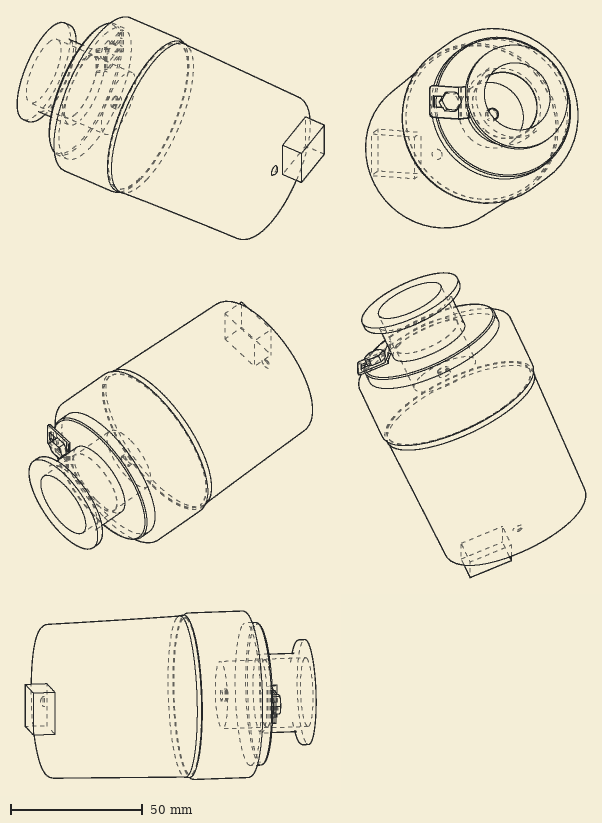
import cadquery as cq
import math


flange_radius = 20.0
flange_corner = 2.8
flange_round = 1.0
flange_back_angle = 15.0
neck_radius = 15.0
neck_round = 0.7

collar_start = 18.0
collar_radius = 27.2
collar_chamfer = 0.5
sleeve_start = 22.7
sleeve_end = 45.9
sleeve_radius = 63.5 / 2
sleeve_round = 1.2
groove_radius = 29.9
ring_start = 46.2
ring_end = 48.0
ring_radius = 30.9
ring_round = 0.2

housing_end = 101.6
housing_start_radius = 30.7
housing_end_radius = 29.3
housing_round = 3.0

bore_radius = 26.2 / 2
inner_bore_radius = 25.6 / 2
bore_taper_start = 14.5
bore_step = 15.8
bore_step_radius = 13.0
bore_depth = 33.0
pin_radius = 4.6 / 2
pin_tip_radius = 4.0 / 2
pin_length = 2.2

total_length = 110.0
plug_width = 17.2
plug_height = 16.3
plug_center_y = 15.0
dome_radius = 4.0 / 2
dome_height = 1.2

tab_thickness = 0.8
tab_width = 12.3
tab_tip_y = 29.3
tab_bend_y = 16.8
tab_corner = 1.3
lip_reach = 3.0
slot_width = 4.3
slot_tip_y = 27.9
screw_y = 21.5
head_flats = 6.9
head_height = 2.6
head_chamfer = 0.3
embed = 0.5


def disk(start, end, radius):
    """Cylinder along X between two stations."""
    return cq.Workplane("YZ", origin=(start, 0, 0)).circle(radius).extrude(end - start)


def flange_and_neck():
    slope_run = (flange_radius - neck_radius) * math.tan(math.radians(flange_back_angle))
    outline = (
        cq.Workplane("XY")
        .lineTo(0, flange_radius)
        .lineTo(flange_corner, flange_radius)
        .lineTo(flange_corner + slope_run, neck_radius)
        .lineTo(collar_start + embed, neck_radius)
        .lineTo(collar_start + embed, 0)
        .close()
    )
    solid = outline.revolve(360, (0, 0, 0), (1, 0, 0))
    solid = solid.faces("%CONE").edges("<X").fillet(flange_round)
    return solid.faces("%CONE").edges(">X").fillet(neck_round)


def housing():
    outline = (
        cq.Workplane("XY")
        .moveTo(ring_end - embed, 0)
        .lineTo(ring_end - embed, housing_start_radius)
        .lineTo(ring_end, housing_start_radius)
        .lineTo(housing_end, housing_end_radius)
        .lineTo(housing_end, 0)
        .close()
    )
    return outline.revolve(360, (0, 0, 0), (1, 0, 0)).faces(">X").edges().fillet(housing_round)


def turned_body():
    collar = disk(collar_start, sleeve_start + embed, collar_radius)
    collar = collar.faces("<X").edges().chamfer(collar_chamfer)
    sleeve = disk(sleeve_start, sleeve_end, sleeve_radius).edges().fillet(sleeve_round)
    groove = disk(sleeve_end - embed, ring_start + embed, groove_radius)
    ring = disk(ring_start, ring_end, ring_radius).edges().fillet(ring_round)
    body = flange_and_neck()
    for piece in (collar, sleeve, groove, ring, housing()):
        body = body.union(piece)
    return body


def bore():
    outline = (
        cq.Workplane("XY")
        .lineTo(0, bore_radius)
        .lineTo(bore_taper_start, bore_radius)
        .lineTo(bore_step, bore_step_radius)
        .lineTo(bore_step, inner_bore_radius)
        .lineTo(bore_depth, inner_bore_radius)
        .lineTo(bore_depth, 0)
        .close()
    )
    return outline.revolve(360, (0, 0, 0), (1, 0, 0))


def pin():
    tip_chamfer = pin_radius - pin_tip_radius
    blank = disk(bore_depth - pin_length, bore_depth + embed, pin_radius)
    return blank.faces("<X").edges().chamfer(tip_chamfer)


def plug():
    length = total_length - housing_end + embed
    return cq.Workplane("XY").box(length, plug_width, plug_height).translate(
        (total_length - length / 2, plug_center_y, 0)
    )


def dome():
    """Shallow spherical cap on the housing end."""
    sphere_radius = (dome_radius**2 + dome_height**2) / (2 * dome_height)
    base_x = housing_end - embed
    base_radius = math.sqrt(sphere_radius**2 - (sphere_radius - dome_height - embed) ** 2)
    outline = (
        cq.Workplane("XY")
        .moveTo(base_x, 0)
        .lineTo(base_x, base_radius)
        .radiusArc((housing_end + dome_height, 0), sphere_radius)
        .close()
    )
    return outline.revolve(360, (0, 0, 0), (1, 0, 0))


def tab():
    front = collar_start - tab_thickness
    plate_length = tab_tip_y - tab_bend_y
    plate = (
        cq.Workplane("XY")
        .box(tab_thickness, plate_length, tab_width)
        .translate((collar_start - tab_thickness / 2, (tab_tip_y + tab_bend_y) / 2, 0))
        .edges("|X and >Y")
        .fillet(tab_corner)
    )
    lip_offset = tab_thickness * math.sqrt(2)
    lip = (
        cq.Workplane("XY")
        .moveTo(front, tab_bend_y + lip_offset)
        .lineTo(front - lip_reach, tab_bend_y + lip_offset - lip_reach)
        .lineTo(front - lip_reach + lip_offset / 2, tab_bend_y + lip_offset / 2 - lip_reach)
        .lineTo(collar_start, tab_bend_y + lip_offset - tab_thickness / 2)
        .close()
        .extrude(tab_width / 2, both=True)
    )
    slot_length = slot_tip_y - screw_y
    slot = cq.Workplane("XY").box(2 * tab_thickness, slot_length, slot_width)
    slot = slot.translate((collar_start - tab_thickness, screw_y + slot_length / 2, 0))
    return plate.union(lip).cut(slot)


def screw_head():
    front = collar_start - tab_thickness - head_height
    length = head_height + tab_thickness + embed
    across_corners = head_flats / math.cos(math.radians(30))
    hexagon = (
        cq.Workplane("YZ", origin=(front, screw_y, 0))
        .polygon(6, across_corners)
        .extrude(length)
    )
    trimmer = (
        cq.Workplane("YZ", origin=(front, screw_y, 0))
        .circle(across_corners / 2)
        .extrude(length)
        .faces("<X")
        .edges()
        .chamfer(head_chamfer)
    )
    return hexagon.intersect(trimmer)


result = turned_body().cut(bore())
for piece in (pin(), plug(), dome(), tab(), screw_head()):
    result = result.union(piece)